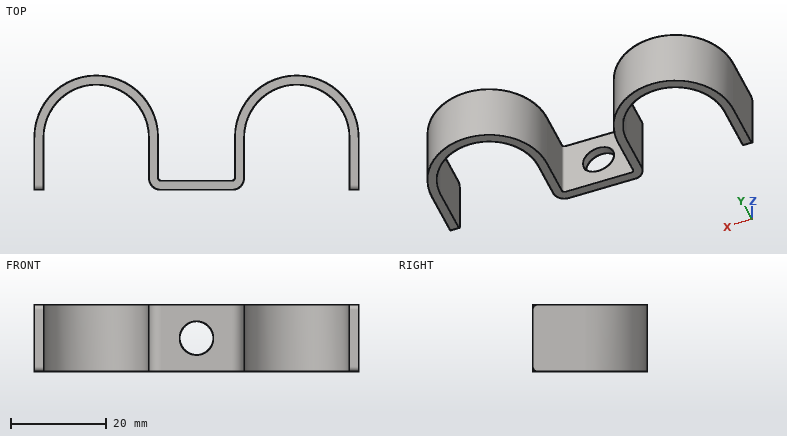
import cadquery as cq

length = 68.0
depth = 24.0
width = 14.0
thickness = 2.0
outer_radius = 13.0
bend_inner = 0.55
hole_diameter = 7.0
tip_radius = 1.0

inner_radius = outer_radius - thickness
bend_outer = bend_inner + thickness
saddle_x = length / 2 - outer_radius
saddle_y = depth - outer_radius
web_outer_x = saddle_x - inner_radius
web_inner_x = web_outer_x - thickness


def saddle(side):
    """Half-round saddle with its outer and inner legs; side is -1 or +1."""
    center = side * saddle_x
    outer_leg = 0.0
    inner_leg = bend_outer
    return (
        cq.Workplane("XY")
        .moveTo(center + side * outer_radius, outer_leg)
        .lineTo(center + side * outer_radius, saddle_y)
        .threePointArc((center, depth), (center - side * outer_radius, saddle_y))
        .lineTo(center - side * outer_radius, inner_leg)
        .lineTo(center - side * inner_radius, inner_leg)
        .lineTo(center - side * inner_radius, saddle_y)
        .threePointArc((center, saddle_y + inner_radius), (center + side * inner_radius, saddle_y))
        .lineTo(center + side * inner_radius, outer_leg)
        .close()
        .extrude(width)
    )


def mounting_web():
    """U-shaped web with bent corners and the screw hole."""
    outside = (
        cq.Workplane("XY")
        .rect(2 * web_outer_x, 2 * saddle_y)
        .extrude(width)
        .edges("|Z")
        .fillet(bend_outer)
    )
    inside = (
        cq.Workplane("XY")
        .rect(2 * web_inner_x, 2 * (saddle_y - thickness))
        .extrude(width)
        .edges("|Z")
        .fillet(bend_inner)
    )
    lower_half = cq.Workplane("XY").box(length, bend_outer, width, centered=(True, False, False))
    ring = outside.cut(inside).translate((0, saddle_y, 0))
    hole = (
        cq.Workplane("XZ")
        .center(0, width / 2)
        .circle(hole_diameter / 2)
        .extrude(-depth)
    )
    return ring.intersect(lower_half).cut(hole)


def round_tips(body):
    """Round both corners of each free leg end."""
    leg_x = length / 2 - thickness / 2
    for x in (-leg_x, leg_x):
        for z in (0, width):
            corner = cq.selectors.NearestToPointSelector((x, 0, z))
            body = body.edges("|X").edges(corner).fillet(tip_radius)
    return body


clip = saddle(-1).union(saddle(1)).union(mounting_web()).clean()
result = round_tips(clip)